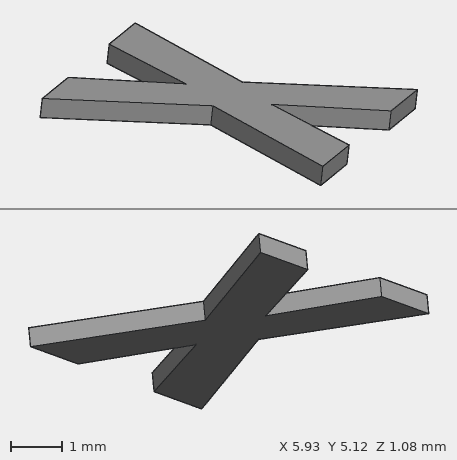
import cadquery as cq
import math

overall_length = 5.93
overall_width = 5.12
thickness = 0.405
tilt = 6.58
tilt_radians = math.radians(tilt)
plate_length = (overall_length - thickness * math.sin(tilt_radians)) / math.cos(tilt_radians)

high_end_outer = 2.515
high_end_inner = 1.105
low_end_outer = overall_width / 2
low_end_inner = 1.13
side_notch_inner = 0.795

side_notch_place = 2.925
high_notch_depth = 2.045
low_notch_depth = 2.075

upper_half = [
    (0, high_end_inner),
    (0, high_end_outer),
    (side_notch_place, side_notch_inner),
    (plate_length, low_end_outer),
    (plate_length, low_end_inner),
]
lower_half = [(x, -y) for x, y in reversed(upper_half)]
low_notch = (plate_length - low_notch_depth, 0)
high_notch = (high_notch_depth, 0)
outline = upper_half + [low_notch] + lower_half + [high_notch]

plate = cq.Workplane("XY").polyline(outline).close().extrude(thickness)
centred_plate = plate.translate((-plate_length / 2, 0, -thickness / 2))
result = centred_plate.rotate((0, 0, 0), (0, 1, 0), tilt)